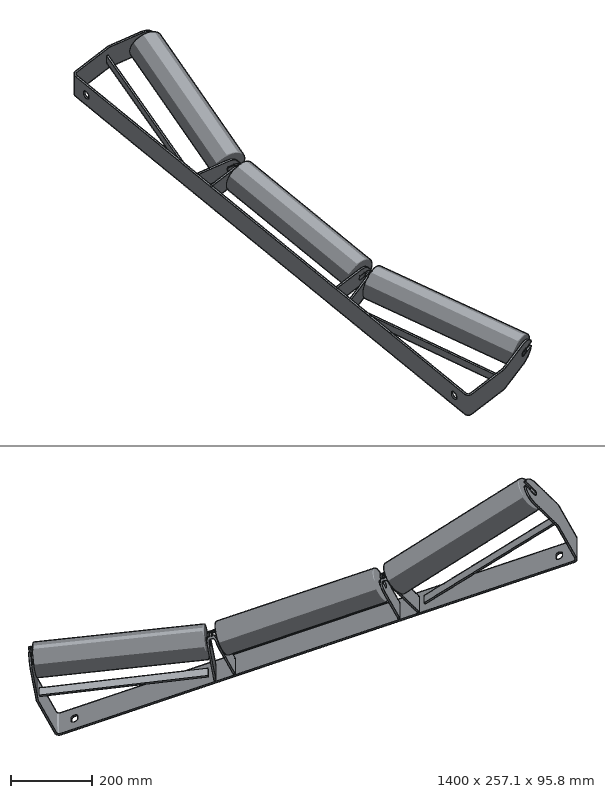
import cadquery as cq
import math

frame_length = 1400.0
plate_height = 80.0
plate_thickness = 5.0
corner_radius = 12.0

trough_angle = 15.0
end_bend_y = 124.0
end_plate_length = 130.0
lean_bend_radius = 12.0

mount_hole_width = 18.0
mount_hole_height = 26.0
mount_hole_inset = 50.0

roller_diameter = 89.0
roller_length = 427.0
roller_gap = 5.0
roller_edge_radius = 3.0
shaft_diameter = 22.0
shaft_flat_width = 16.0
center_axis_y = 99.5
wing_center_x = 457.6
wing_center_y = 159.53
wing_rise = 6.81

bracket_top_y = 125.0
bracket_height = 60.0
bracket_bend_radius = 11.0

brace_height = 28.0
brace_thickness = 5.0
brace_start_y = 118.5

half_length = frame_length / 2
tip_radius = plate_height / 2
sin_trough = math.sin(math.radians(trough_angle))
cos_trough = math.cos(math.radians(trough_angle))
tan_trough = sin_trough / cos_trough
wing_tilt = math.degrees(math.asin(wing_rise / roller_length))
center_axis_z = -wing_rise
wing_center_z = -wing_rise / 2
shaft_overhang = roller_gap + plate_thickness
shaft_length = roller_length + 2 * shaft_overhang

bracket_radius = bracket_height / 2
bracket_inner_x = roller_length / 2 + roller_gap
wing_inner_end = wing_center_x * cos_trough + wing_center_y * sin_trough - roller_length / 2
bracket_foot_x = (wing_inner_end - roller_gap - plate_thickness * sin_trough) / cos_trough


def plate_profile(points, height):
    """Extrude an XY outline symmetrically about Z = 0."""
    return cq.Workplane("XY", origin=(0, 0, -height / 2)).polyline(points).close().extrude(height)


def round_bar(diameter, length):
    """Cylinder along the X axis, centred on the origin."""
    return cq.Workplane("YZ", origin=(-length / 2, 0, 0)).circle(diameter / 2).extrude(length)


def vertical_edge_at(point):
    """Selector for the upright edge through an XY point."""
    return cq.selectors.NearestToPointSelector((point[0], point[1], 0))


def mirrored(body):
    """Copy of a right-hand body on the left-hand side."""
    return body.mirror("YZ")


def place_wing(body):
    """Move a body built along the X axis at the origin to the right-hand wing roller position."""
    body = body.rotate((0, 0, 0), (0, 1, 0), -wing_tilt)
    body = body.rotate((0, 0, 0), (0, 0, 1), trough_angle)
    return body.translate((wing_center_x, wing_center_y, wing_center_z))


def place_center(body):
    """Move a body built along the X axis at the origin to the centre roller position."""
    return body.translate((0, center_axis_y, center_axis_z))


def make_shaft(length):
    rod = round_bar(shaft_diameter, length)
    flats = cq.Workplane("XY").box(length, shaft_diameter, shaft_flat_width)
    return rod.intersect(flats)


def make_roller():
    tube = round_bar(roller_diameter, roller_length)
    tube = tube.edges("%CIRCLE").fillet(roller_edge_radius)
    return tube.union(make_shaft(shaft_length))


def make_slot_cutter():
    """Shaft section carried on towards +Y, so that the roller can be dropped in."""
    length = shaft_length + 2 * plate_thickness
    reach = roller_diameter
    channel = cq.Workplane("XY").box(length, reach, shaft_flat_width).translate((0, reach / 2, 0))
    return make_shaft(length).union(channel)


center_slots = place_center(make_slot_cutter())
wing_slots = place_wing(make_slot_cutter())

center_roller = place_center(make_roller())
right_roller = place_wing(make_roller())
left_roller = mirrored(right_roller)


def make_frame_half():
    tip_outer = (half_length - end_plate_length * sin_trough, end_bend_y + end_plate_length * cos_trough)
    tip_inner = (tip_outer[0] - plate_thickness * cos_trough, tip_outer[1] - plate_thickness * sin_trough)
    inner_x = half_length - plate_thickness
    inner_bend_y = end_bend_y - plate_thickness * math.tan(math.radians(trough_angle / 2))
    half = plate_profile(
        [
            (0, 0),
            (half_length, 0),
            (half_length, end_bend_y),
            tip_outer,
            tip_inner,
            (inner_x, inner_bend_y),
            (inner_x, plate_thickness),
            (0, plate_thickness),
        ],
        plate_height,
    )
    bends = [
        ((half_length, 0), corner_radius),
        ((inner_x, plate_thickness), corner_radius - plate_thickness),
        ((half_length, end_bend_y), lean_bend_radius),
        ((inner_x, inner_bend_y), lean_bend_radius - plate_thickness),
    ]
    for corner, radius in bends:
        half = half.edges(vertical_edge_at(corner)).fillet(radius)

    round_center = (tip_outer[0] + tip_radius * sin_trough, tip_outer[1] - tip_radius * cos_trough, 0)
    lean_plane = cq.Plane(
        origin=round_center,
        xDir=(-sin_trough, cos_trough, 0),
        normal=(-cos_trough, -sin_trough, 0),
    )
    tip_block = cq.Workplane(lean_plane).rect(2 * tip_radius, plate_height).extrude(plate_thickness)
    tip_block = tip_block.translate((-tip_radius * sin_trough, tip_radius * cos_trough, 0))
    tip_round = cq.Workplane(lean_plane).circle(tip_radius).extrude(plate_thickness)
    half = half.cut(tip_block.cut(tip_round))

    hole = (
        cq.Workplane("XZ")
        .center(half_length - mount_hole_inset, 0)
        .slot2D(mount_hole_height, mount_hole_width, 90)
        .extrude(-plate_thickness)
    )
    return half.cut(hole).cut(wing_slots)


frame_half = make_frame_half()
frame = frame_half.union(mirrored(frame_half))


def make_bracket():
    top_inner_y = bracket_top_y - plate_thickness
    lean_thickness = plate_thickness / cos_trough

    def lean_x(y):
        return bracket_foot_x + lean_thickness / 2 - (y - plate_thickness) * tan_trough

    outer = plate_profile(
        [
            (bracket_inner_x, plate_thickness),
            (bracket_inner_x, bracket_top_y),
            (lean_x(bracket_top_y), bracket_top_y),
            (lean_x(plate_thickness), plate_thickness),
        ],
        bracket_height,
    )
    outer = outer.faces(">Y").edges("|Z").fillet(bracket_bend_radius)
    hollow = plate_profile(
        [
            (bracket_inner_x + plate_thickness, plate_thickness),
            (bracket_inner_x + plate_thickness, top_inner_y),
            (lean_x(top_inner_y) - lean_thickness, top_inner_y),
            (lean_x(plate_thickness) - lean_thickness, plate_thickness),
        ],
        bracket_height,
    )
    hollow = hollow.faces(">Y").edges("|Z").fillet(bracket_bend_radius - plate_thickness)
    rounded = (
        cq.Workplane("YZ")
        .moveTo(0, -bracket_radius)
        .lineTo(bracket_top_y - bracket_radius, -bracket_radius)
        .threePointArc((bracket_top_y, 0), (bracket_top_y - bracket_radius, bracket_radius))
        .lineTo(0, bracket_radius)
        .close()
        .extrude(half_length)
    )
    fold = outer.cut(hollow).intersect(rounded).translate((0, 0, center_axis_z))
    return fold.cut(center_slots).cut(wing_slots)


right_bracket = make_bracket()
left_bracket = mirrored(right_bracket)


def make_brace():
    outer_x = half_length - plate_thickness
    drop = brace_thickness / cos_trough
    foot_x = outer_x - (brace_start_y - drop - plate_thickness) / tan_trough
    foot_top = (foot_x - brace_thickness * sin_trough, plate_thickness + brace_thickness * cos_trough)
    return plate_profile(
        [
            (outer_x, brace_start_y),
            foot_top,
            (foot_x, plate_thickness),
            (outer_x, brace_start_y - drop),
        ],
        brace_height,
    )


right_brace = make_brace()
left_brace = mirrored(right_brace)

result = cq.Compound.makeCompound(
    [
        frame.val(),
        right_bracket.val(),
        left_bracket.val(),
        right_brace.val(),
        left_brace.val(),
        center_roller.val(),
        right_roller.val(),
        left_roller.val(),
    ]
)